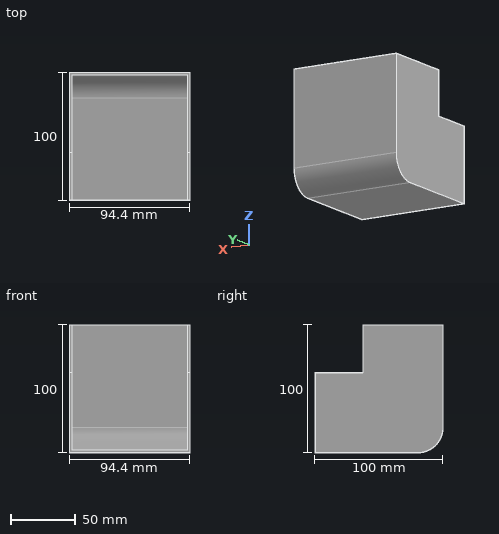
import cadquery as cq

width = 94.4
leg_length = 100.0
wall = 2.2
leg_depth = 62.7
outer_bend_radius = 20.0

inner_bend_radius = outer_bend_radius - wall
inner_width = width - 2 * wall


def extrude_across(profile, span):
    """Extrude a YZ profile symmetrically about the X = 0 plane."""
    return profile.extrude(span / 2, both=True)


def elbow_body():
    """Solid L-shaped elbow with a rounded outer corner at the back bottom edge."""
    profile = (
        cq.Workplane("YZ")
        .moveTo(0, 0)
        .lineTo(leg_length, 0)
        .lineTo(leg_length, leg_length)
        .lineTo(leg_length - leg_depth, leg_length)
        .lineTo(leg_length - leg_depth, leg_depth)
        .lineTo(0, leg_depth)
        .close()
    )
    body = extrude_across(profile, width)
    return body.edges("|X and >Y and <Z").fillet(outer_bend_radius)


def channel():
    """Cavity that leaves the floor, the back wall and the two side walls."""
    profile = (
        cq.Workplane("YZ")
        .moveTo(0, wall)
        .lineTo(leg_length - wall, wall)
        .lineTo(leg_length - wall, leg_length)
        .lineTo(0, leg_length)
        .close()
    )
    cavity = extrude_across(profile, inner_width)
    return cavity.edges("|X and >Y and <Z").fillet(inner_bend_radius)


result = elbow_body().cut(channel())